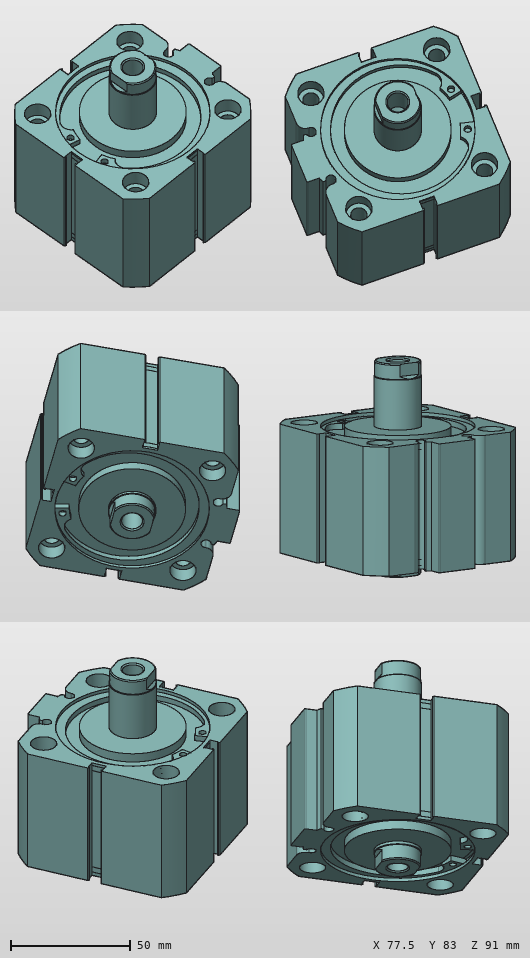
import cadquery as cq
import math


body_width = 77.5
half_width = body_width / 2
body_height = 55.0
corner_radius = 49.5
bore_radius = 32.35

rail_top = 44.25
rail_half_width = 9.3
rail_edge_radius = 0.5
hook_tip_x = 11.55
hook_tip_y = 37.85
hook_root_x = 11.3
groove_x = 11.7
groove_y = 34.4
groove_radius = 2.1
shoulder_radius = 4.0

slot_floor = 34.15
slot_width = 6.5
slot_opening = 5.3
lip_thickness = 0.9
lip_chamfer = 0.5

hole_spacing = 56.4
hole_diameter = 6.8
counterbore_diameter = 11.0
counterbore_depth = 7.0

ring_radius = 33.9
ring_thickness = 2.5
ring_inset = 1.5
ring_inner_radius = 29.6
ring_inner_offset = 1.5
lug_inner_radius = 26.4
lug_gap_angle = 13.6
lug_side_angle = 27.2
lug_hole_radius = 1.5
lug_hole_x = 9.8
lug_hole_y = -27.65
notch_end_x = 18.9
notch_bottom = (15.6, -25.4)

collar_boss_radius = 22.4
boss_height = ring_inset + ring_thickness
collar_flange_thickness = 10.0

rod_radius = 10.0
rod_bottom = -8.0
rod_top = 83.0
neck_radius = 9.75
neck_length = 6.5
neck_step_chamfer = rod_radius - neck_radius
tip_chamfer = 0.5
flat_offset = 8.5
flat_length = 5.25
rod_hole_radius = 4.4
countersink_radius = 5.0
rod_hole_depth = 15.0
drill_half_angle = 59.0


def mirrored(body):
    """Copy of a body at the other end of the housing."""
    mid_plane = (0, 0, body_height / 2)
    return body.mirror("XY", mid_plane)


def polar(radius, angle):
    """Point at an angle from -Y, counted towards +X."""
    a = math.radians(angle)
    return (radius * math.sin(a), -radius * math.cos(a))


def flip(point):
    return (-point[0], point[1])


def block_blank():
    square = cq.Workplane("XY").rect(body_width, body_width).extrude(body_height)
    return square.intersect(cq.Workplane("XY").circle(corner_radius).extrude(body_height))


def rail_channel():
    """Space to the right of the rail: hook, round groove and shoulder."""
    groove_outer_x = groove_x + groove_radius
    shoulder_x = groove_outer_x + shoulder_radius
    shoulder_y = half_width - shoulder_radius
    shoulder_mid = (
        shoulder_x - shoulder_radius * math.cos(math.pi / 4),
        shoulder_y + shoulder_radius * math.sin(math.pi / 4),
    )
    hook_root_y = groove_y + math.sqrt(groove_radius**2 - (groove_x - hook_root_x) ** 2)
    return (
        cq.Workplane("XY")
        .moveTo(rail_half_width, rail_top)
        .lineTo(rail_half_width, half_width)
        .lineTo(hook_tip_x, hook_tip_y)
        .lineTo(hook_root_x, hook_root_y)
        .threePointArc((groove_x, groove_y - groove_radius), (groove_outer_x, groove_y))
        .lineTo(groove_outer_x, shoulder_y)
        .threePointArc(shoulder_mid, (shoulder_x, half_width))
        .lineTo(shoulder_x, rail_top)
        .close()
        .extrude(body_height)
    )


def rail():
    height = rail_top - slot_floor
    return (
        cq.Workplane("XY")
        .center(0, slot_floor + height / 2)
        .rect(2 * rail_half_width, height)
        .extrude(body_height)
        .edges("|Z and >Y")
        .fillet(rail_edge_radius)
    )


def sensor_slot():
    """Slot with two lips, cut into the -Y side."""
    lip_inside = half_width - lip_thickness
    right_side = [
        (slot_width / 2, -slot_floor),
        (slot_width / 2, -lip_inside),
        (slot_opening / 2, -lip_inside),
        (slot_opening / 2, -half_width + lip_chamfer),
        (slot_opening / 2 + lip_chamfer, -half_width),
    ]
    left_side = [flip(point) for point in reversed(right_side)]
    return cq.Workplane("XY").polyline(right_side + left_side).close().extrude(body_height)


def mounting_hole():
    counterbore = cq.Workplane("XY").circle(counterbore_diameter / 2).extrude(counterbore_depth)
    through = cq.Workplane("XY").circle(hole_diameter / 2).extrude(body_height)
    return through.union(counterbore).union(mirrored(counterbore))


def ring_groove():
    return (
        cq.Workplane("XY")
        .workplane(offset=ring_inset)
        .circle(ring_radius)
        .extrude(ring_thickness)
    )


def make_housing():
    body = block_blank().union(rail())
    channel = rail_channel()
    body = body.cut(channel).cut(channel.mirror("YZ"))

    slot = sensor_slot()
    for turn in (-90, 0, 90):
        body = body.cut(slot.rotate((0, 0, 0), (0, 0, 1), turn))

    hole = mounting_hole()
    for x in (-hole_spacing / 2, hole_spacing / 2):
        for y in (-hole_spacing / 2, hole_spacing / 2):
            body = body.cut(hole.translate((x, y, 0)))

    body = body.cut(cq.Workplane("XY").circle(bore_radius).extrude(body_height))
    groove = ring_groove()
    return body.cut(groove).cut(mirrored(groove))


def make_collar():
    """Guide for the rod at the lower end: raised boss on a flange behind the ring."""
    flange = (
        cq.Workplane("XY")
        .workplane(offset=boss_height)
        .circle(bore_radius)
        .extrude(collar_flange_thickness)
    )
    boss = cq.Workplane("XY").circle(collar_boss_radius).extrude(boss_height)
    rod_hole = cq.Workplane("XY").circle(rod_radius).extrude(boss_height + collar_flange_thickness)
    return flange.union(boss).cut(rod_hole)


def make_retaining_ring():
    """Ring in the lower groove, open towards -Y, with a drilled lug at each end."""
    notch_end_y = -ring_inner_offset - math.sqrt(ring_inner_radius**2 - notch_end_x**2)
    notch_end = (notch_end_x, notch_end_y)
    lug_side = polar(lug_inner_radius, lug_side_angle)
    lug_middle = polar(lug_inner_radius, (lug_gap_angle + lug_side_angle) / 2)
    lug_tip = polar(lug_inner_radius, lug_gap_angle)
    outer_end = polar(ring_radius, lug_gap_angle)
    return (
        cq.Workplane("XY")
        .workplane(offset=ring_inset)
        .moveTo(*outer_end)
        .threePointArc((0, ring_radius), flip(outer_end))
        .lineTo(*flip(lug_tip))
        .threePointArc(flip(lug_middle), flip(lug_side))
        .threePointArc(flip(notch_bottom), flip(notch_end))
        .threePointArc((0, ring_inner_radius - ring_inner_offset), notch_end)
        .threePointArc(notch_bottom, lug_side)
        .threePointArc(lug_middle, lug_tip)
        .close()
        .pushPoints([(lug_hole_x, lug_hole_y), (-lug_hole_x, lug_hole_y)])
        .circle(lug_hole_radius)
        .extrude(ring_thickness)
    )


def rod_half(length):
    """Half of the rod, from Z = 0 up to a drilled tip with two wrench flats."""
    step = length - neck_length
    drill_end = length - rod_hole_depth
    drill_point = drill_end - rod_hole_radius / math.tan(math.radians(drill_half_angle))
    countersink_depth = countersink_radius - rod_hole_radius
    turned = (
        cq.Workplane("XZ")
        .moveTo(0, 0)
        .lineTo(rod_radius, 0)
        .lineTo(rod_radius, step - neck_step_chamfer)
        .lineTo(neck_radius, step)
        .lineTo(neck_radius, length - tip_chamfer)
        .lineTo(neck_radius - tip_chamfer, length)
        .lineTo(countersink_radius, length)
        .lineTo(rod_hole_radius, length - countersink_depth)
        .lineTo(rod_hole_radius, drill_end)
        .lineTo(0, drill_point)
        .close()
        .revolve(360, (0, 0, 0), (0, 1, 0))
    )
    flat_bottom = length - flat_length
    flat_cut = (
        cq.Workplane("YZ")
        .moveTo(flat_offset, length)
        .lineTo(flat_offset, flat_bottom)
        .lineTo(flat_offset + flat_length, flat_bottom - flat_length)
        .lineTo(flat_offset + flat_length, length)
        .close()
        .extrude(rod_radius, both=True)
    )
    return turned.cut(flat_cut).cut(flat_cut.mirror("XZ"))


def make_rod():
    middle = body_height / 2
    upper = rod_half(rod_top - middle)
    lower = rod_half(middle - rod_bottom).mirror("XY")
    return upper.union(lower).translate((0, 0, middle))


housing = make_housing()
rod = make_rod()
lower_collar = make_collar()
upper_collar = mirrored(lower_collar)
lower_ring = make_retaining_ring()
upper_ring = mirrored(lower_ring)

result = cq.Compound.makeCompound([
    housing.val(),
    rod.val(),
    lower_collar.val(),
    upper_collar.val(),
    lower_ring.val(),
    upper_ring.val(),
])